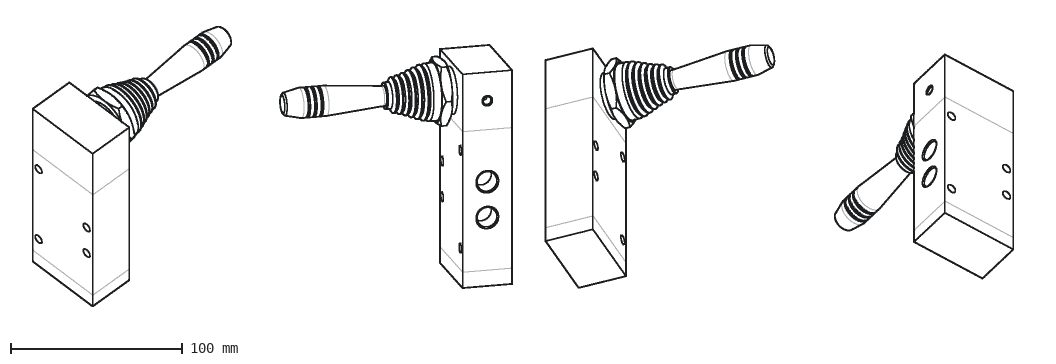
import cadquery as cq
import math


block_width = 50.0
block_depth = 30.0
cap_height = 9.9
main_height = 86.0
head_height = 35.0
main_mid_z = cap_height + main_height / 2
head_mid_z = cap_height + main_height + head_height / 2

mount_diameter = 5.5
mount_x = 20.0
left_mount_offset = 30.0
port_offset = 11.0

port_diameter = 12.0
port_depth = 13.2
port_chamfer = 0.8
pilot_diameter = 4.9
pilot_depth = 9.2
pilot_chamfer = 0.7

neck_diameter = 28.0
neck_length = 4.0
nut_flats = 36.0
nut_thickness = 6.3
nut_chamfer_angle = 30
nut_start_y = block_depth + neck_length
nut_end_y = nut_start_y + nut_thickness

collar_diameter = 34.0
collar_length = 4.8
rib_diameters = [33.0, 30.5, 27.9, 25.1, 23.0, 21.3]
rib_pitch = 3.5
first_rib_y = 48.0
rib_crest = 0.7
first_groove_diameter = 29.5
groove_step = 2.31
rim_diameter = 16.0
rim_start_y = 67.5
rim_end_y = 70.5
rim_chamfer = 0.4

stem_diameter = 12.0
stem_length = 1.5
grip_diameter = 18.0
grip_start_y = 106.4
grip_end_y = 121.5
shoulder_diameter = 13.6
tip_diameter = 10.8
tip_round_length = 1.0
tip_y = 132.0
ring_groove_width = 1.2
ring_groove_depth = 0.8
ring_groove_pitch = 4.0
ring_groove_mid_y = 114.0


def stacked_block():
    """Three sections fused into one solid, keeping the edges where their faces meet."""
    block = None
    base_z = 0
    for height in (cap_height, main_height, head_height):
        section = cq.Workplane("XY").box(block_width, block_depth, height, centered=(True, False, False))
        section = section.translate((0, 0, base_z))
        block = section if block is None else block.union(section, clean=False)
        base_z += height
    return block


def mounting_hole(x, z):
    axis_start = cq.Vector(x, 0, z)
    return cq.Solid.makeCylinder(mount_diameter / 2, block_depth, axis_start, cq.Vector(0, 1, 0))


def side_hole(diameter, depth, chamfer, z):
    """Blind hole with a 45 degree chamfer at its mouth, running inwards from the -X side."""
    radius = diameter / 2
    mouth = cq.Vector(-block_width / 2, block_depth / 2, z)
    inwards = cq.Vector(1, 0, 0)
    bore = cq.Solid.makeCylinder(radius, depth, mouth, inwards)
    countersink = cq.Solid.makeCone(radius + chamfer, radius, chamfer, mouth, inwards)
    return bore.fuse(countersink)


def make_valve_block():
    block = stacked_block()
    cutters = [side_hole(pilot_diameter, pilot_depth, pilot_chamfer, head_mid_z)]
    for side in (-1, 1):
        left_z = main_mid_z + side * left_mount_offset
        port_z = main_mid_z + side * port_offset
        cutters.append(mounting_hole(-mount_x, left_z))
        cutters.append(mounting_hole(mount_x, port_z))
        cutters.append(side_hole(port_diameter, port_depth, port_chamfer, port_z))
    for cutter in cutters:
        block = block.cut(cq.Workplane(cutter), clean=False)
    return block


def revolve_about_y(points):
    """Turn a closed (radius, y) outline about the Y axis."""
    return cq.Workplane("XY").polyline(points).close().revolve(360, (0, 0), (0, 1))


def make_nut():
    """Hexagon with corners towards +X and -X, both faces chamfered down to the flats."""
    corner_diameter = nut_flats / math.cos(math.radians(30))
    corner_radius = corner_diameter / 2
    flat_radius = nut_flats / 2
    chamfer_drop = (corner_radius - flat_radius) * math.tan(math.radians(nut_chamfer_angle))
    hexagon = (
        cq.Workplane("XZ", origin=(0, nut_end_y, 0))
        .polygon(6, corner_diameter)
        .extrude(nut_thickness)
    )
    envelope = revolve_about_y([
        (0, nut_start_y),
        (flat_radius, nut_start_y),
        (corner_radius, nut_start_y + chamfer_drop),
        (corner_radius, nut_end_y - chamfer_drop),
        (flat_radius, nut_end_y),
        (0, nut_end_y),
    ])
    return hexagon.intersect(envelope)


def make_boot():
    """Collar, ribs shrinking away from the nut, and a plain rim."""
    collar_end_y = nut_end_y + collar_length
    outline = [
        (0, nut_end_y),
        (collar_diameter / 2, nut_end_y),
        (collar_diameter / 2, collar_end_y),
    ]
    for index, rib_diameter in enumerate(rib_diameters):
        rib_y = first_rib_y + index * rib_pitch
        groove_radius = (first_groove_diameter - index * groove_step) / 2
        outline += [
            (groove_radius, rib_y - rib_pitch / 2),
            (rib_diameter / 2, rib_y - rib_crest / 2),
            (rib_diameter / 2, rib_y + rib_crest / 2),
        ]
    outline += [
        (rim_diameter / 2, rim_start_y),
        (rim_diameter / 2, rim_end_y - rim_chamfer),
        (rim_diameter / 2 - rim_chamfer, rim_end_y),
        (0, rim_end_y),
    ]
    return revolve_about_y(outline)


def make_grip():
    grip_radius = grip_diameter / 2
    grip = revolve_about_y([
        (0, rim_end_y),
        (stem_diameter / 2, rim_end_y),
        (stem_diameter / 2, rim_end_y + stem_length),
        (grip_radius, grip_start_y),
        (grip_radius, grip_end_y),
        (shoulder_diameter / 2, tip_y - tip_round_length),
        (tip_diameter / 2, tip_y),
        (0, tip_y),
    ])
    for step in (-1, 0, 1):
        groove_y = ring_groove_mid_y + step * ring_groove_pitch
        ring = (
            cq.Workplane("XZ", origin=(0, groove_y + ring_groove_width / 2, 0))
            .circle(grip_radius)
            .circle(grip_radius - ring_groove_depth)
            .extrude(ring_groove_width)
        )
        grip = grip.cut(ring)
    return grip


def make_lever():
    """Neck, nut, boot and grip as one solid standing on the back of the head."""
    neck = cq.Workplane("XZ", origin=(0, nut_start_y, 0)).circle(neck_diameter / 2).extrude(neck_length)
    lever = neck.union(make_nut()).union(make_boot()).union(make_grip())
    return lever.translate((0, 0, head_mid_z))


valve_block = make_valve_block()
lever = make_lever()
result = cq.Compound.makeCompound([valve_block.solids().val(), lever.solids().val()])